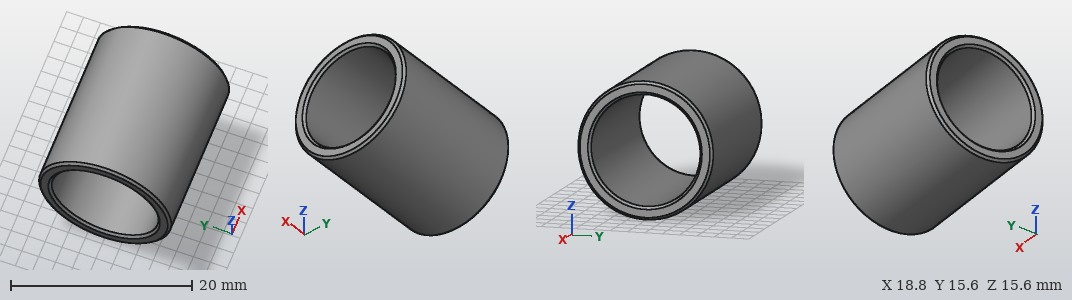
import cadquery as cq

length = 18.75
outer_diameter = 15.62
bore_diameter = 12.6
chamfer = 0.3


def make_sleeve():
    """Straight tube extruded along +X, centred on its mid-length."""
    return (
        cq.Workplane("YZ")
        .workplane(offset=-length / 2)
        .circle(outer_diameter / 2)
        .circle(bore_diameter / 2)
        .extrude(length)
    )


def chamfer_ends(sleeve):
    """Break the outer and bore edges at both ends."""
    return sleeve.faces("<X or >X").edges().chamfer(chamfer)


result = chamfer_ends(make_sleeve())